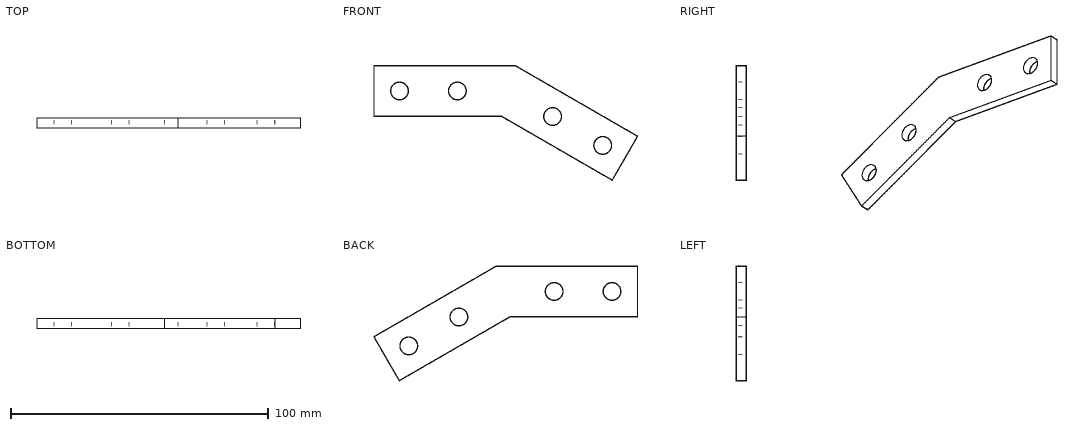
import cadquery as cq
import math

BEND_ANGLE = 30.0
WIDTH = 19.8
THICKNESS = 4.0
OUTER_LENGTH = 55.0
HOLE_DIAMETER = 6.8
END_TO_HOLE = 10.0
HOLE_PITCH = 22.5

slope = math.radians(BEND_ANGLE)
bend_offset = WIDTH / 2 * math.tan(slope / 2)
leg_length = OUTER_LENGTH - bend_offset


def point_on_first_leg(from_bend, across):
    """Point on the horizontal leg, measured from the centreline bend."""
    return (-from_bend, across)


def point_on_second_leg(from_bend, across):
    """Point on the sloping leg, measured from the centreline bend."""
    x = from_bend * math.cos(slope) + across * math.sin(slope)
    z = -from_bend * math.sin(slope) + across * math.cos(slope)
    return (x, z)


def make_plate():
    """Bent strip, from Y = 0 to Y = THICKNESS."""
    half = WIDTH / 2
    outline = [
        point_on_first_leg(leg_length, half),
        (bend_offset, half),
        point_on_second_leg(leg_length, half),
        point_on_second_leg(leg_length, -half),
        (-bend_offset, -half),
        point_on_first_leg(leg_length, -half),
    ]
    return cq.Workplane("XZ").polyline(outline).close().extrude(-THICKNESS)


def make_holes():
    """Cylinders for the two through holes on each leg's centreline."""
    outer_hole = leg_length - END_TO_HOLE
    inner_hole = outer_hole - HOLE_PITCH
    centres = []
    for from_bend in (outer_hole, inner_hole):
        centres.append(point_on_first_leg(from_bend, 0))
        centres.append(point_on_second_leg(from_bend, 0))
    return cq.Workplane("XZ").pushPoints(centres).circle(HOLE_DIAMETER / 2).extrude(-THICKNESS)


result = make_plate().cut(make_holes())